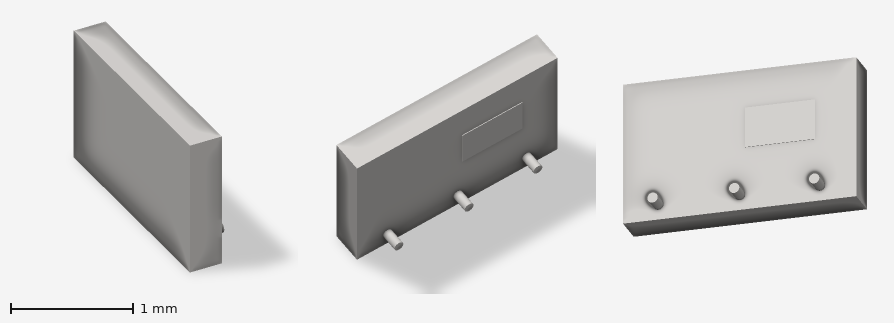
import cadquery as cq

body_length = 2
total_depth = 0.46
body_height = 1.23

pin_length = 0.165
pin_diameter = 0.088
pin_height = 0.13
pin_positions = (-0.69, -0.005, 0.695)

pad_thickness = 0.005
pad_height = 0.35
pad_top_margin = 0.332

body_depth = total_depth - pin_length
pad_left = pin_positions[0] + pin_diameter / 2
pad_right = pin_positions[1] - pin_diameter / 2
pad_length = pad_right - pad_left


def make_body():
    """Plain block, centred on X, front face at Y = 0 and bottom at Z = 0."""
    return cq.Workplane("XY").box(body_length, body_depth, body_height, centered=(True, False, False))


def make_pin(x):
    """Round pin rising from the back face along +Y."""
    back_plane = cq.Plane(origin=(x, body_depth, pin_height), xDir=(1, 0, 0), normal=(0, 1, 0))
    return cq.Workplane(back_plane).circle(pin_diameter / 2).extrude(pin_length)


def make_pad():
    """Thin rectangular pad on the back face."""
    pad_bottom = body_height - pad_top_margin - pad_height
    pad = cq.Workplane("XY").box(pad_length, pad_thickness, pad_height, centered=False)
    return pad.translate((pad_left, body_depth, pad_bottom))


result = make_body().union(make_pad())
for pin_x in pin_positions:
    result = result.union(make_pin(pin_x))